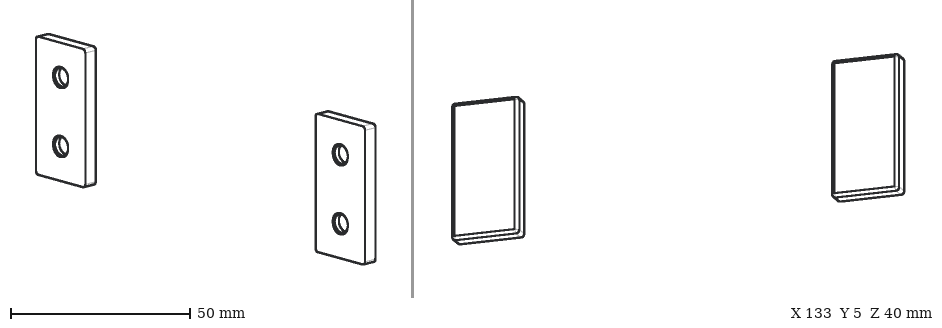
import cadquery as cq

span = 133.0
plate_width = 20.0
plate_thickness = 5.0
plate_height = 40.0
corner_radius = 1.0
back_chamfer = 0.98
hole_spacing = 20.0
hole_diameter = 5.3
mouth_diameter = 6.1
mouth_depth = 0.4
hole_depth = 2.0

plate_offset = (span - plate_width) / 2


def blind_hole():
    """Round blind hole with a tapered mouth, revolved about the Y axis."""
    return (
        cq.Workplane("XY")
        .lineTo(mouth_diameter / 2, 0)
        .lineTo(hole_diameter / 2, mouth_depth)
        .lineTo(hole_diameter / 2, hole_depth)
        .lineTo(0, hole_depth)
        .close()
        .revolve(360, (0, 0, 0), (0, 1, 0))
    )


def plate(center_x):
    """Rectangular plate with rounded corners, bevelled back and two blind holes."""
    body = (
        cq.Workplane("XY")
        .box(plate_width, plate_thickness, plate_height, centered=(True, False, True))
        .edges("|Y")
        .fillet(corner_radius)
        .faces(">Y")
        .chamfer(back_chamfer)
    )
    for hole_z in (-hole_spacing / 2, hole_spacing / 2):
        body = body.cut(blind_hole().translate((0, 0, hole_z)))
    return body.translate((center_x, 0, 0))


plates = [plate(center_x) for center_x in (-plate_offset, plate_offset)]

result = cq.Compound.makeCompound([body.val() for body in plates])